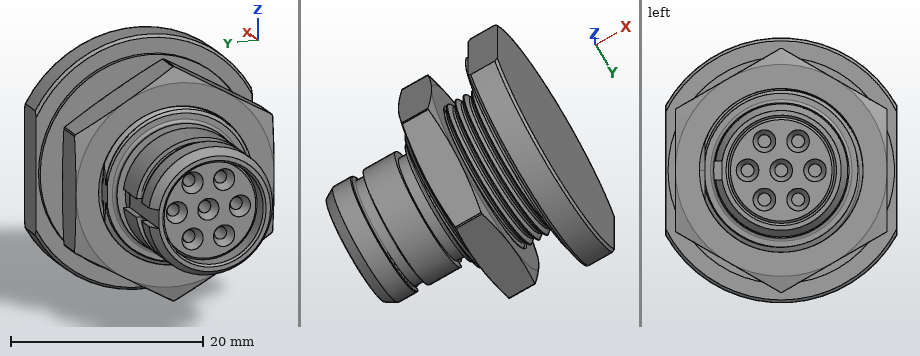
import cadquery as cq
import math


NOSE_RADIUS = 6.9
NOSE_FACE_RADIUS = 6.22
NOSE_TAPER_ANGLE = 30.0
NOSE_END = 8.65
NECK_RADIUS = 6.12

RING_GROOVE_START = 3.45
RING_GROOVE_END = 4.85
RING_GROOVE_RADIUS = 6.28
RING_GROOVE_FILLET = 0.15
RING_GROOVE_EDGE_CHAMFER = 0.1

KEYWAY_WIDTH = 2.0
KEYWAY_FLOOR = 6.15

COLLAR_START = 9.98
COLLAR_RADIUS = 7.02
COLLAR_COVE = 0.33

THREAD_START = 10.5
THREAD_RADIUS = 8.5
THREAD_LEAD_CHAMFER = 0.5
THREAD_PITCH = 1.0
THREAD_DEPTH = 0.541 * THREAD_PITCH
THREAD_ROOT_WIDTH = THREAD_PITCH / 4
THREAD_HALF_ANGLE = 30.0
THREAD_CUT_START = 9.65
THREAD_CUT_END = 19.75
THREAD_CUT_CLEARANCE = 0.08
THREAD_FLAT = 7.9

SEAL_START = 20.0
SEAL_RADIUS = 11.75
FLANGE_START = 20.5
FLANGE_END = 24.0
FLANGE_RADIUS = 13.75
FLANGE_CHAMFER = 0.3
FLANGE_ACROSS_FLATS = 24.0

NUT_START = 11.5
NUT_THICKNESS = 4.0
NUT_ACROSS_FLATS = 22.0
NUT_CORNER_RADIUS = 12.65
NUT_BEVEL_ANGLE = 15.0
NUT_BORE_RADIUS = 7.8

RECESS_RADIUS = 5.5
RECESS_CHAMFER = 0.23
INSERT_DEPTH = 1.8
INSERT_CHAMFER = 0.23

CONTACT_COUNT = 6
CONTACT_RING_RADIUS = 3.5
CONTACT_MOUTH_RADIUS = 1.17
CONTACT_HOLE_RADIUS = 0.67
CONTACT_FUNNEL_DEPTH = 1.05
CONTACT_HOLE_DEPTH = 4.0


def tan_deg(angle):
    return math.tan(math.radians(angle))


def turn(profile):
    """Revolve a closed profile of (x, radius) points about the X axis."""
    return profile.close().revolve(360, (0, 0, 0), (1, 0, 0))


def make_body():
    """Nose, neck, collar, thread core and flange as one turned blank."""
    taper_length = (NOSE_RADIUS - NOSE_FACE_RADIUS) / tan_deg(NOSE_TAPER_ANGLE)
    profile = (
        cq.Workplane("XY")
        .moveTo(0, 0)
        .lineTo(0, NOSE_FACE_RADIUS)
        .lineTo(taper_length, NOSE_RADIUS)
        .lineTo(NOSE_END, NOSE_RADIUS)
        .lineTo(NOSE_END, NECK_RADIUS)
        .lineTo(COLLAR_START, NECK_RADIUS)
        .lineTo(COLLAR_START, COLLAR_RADIUS)
        .lineTo(THREAD_START - COLLAR_COVE, COLLAR_RADIUS)
        .radiusArc((THREAD_START, COLLAR_RADIUS + COLLAR_COVE), -COLLAR_COVE)
        .lineTo(SEAL_START, COLLAR_RADIUS + COLLAR_COVE)
        .lineTo(SEAL_START, SEAL_RADIUS)
        .lineTo(FLANGE_START, SEAL_RADIUS)
        .lineTo(FLANGE_START, FLANGE_RADIUS - FLANGE_CHAMFER)
        .lineTo(FLANGE_START + FLANGE_CHAMFER, FLANGE_RADIUS)
        .lineTo(FLANGE_END - FLANGE_CHAMFER, FLANGE_RADIUS)
        .lineTo(FLANGE_END, FLANGE_RADIUS - FLANGE_CHAMFER)
        .lineTo(FLANGE_END, 0)
    )
    return turn(profile)


def make_ring_groove():
    """Ring groove cutter with rounded floor corners and one chamfered edge."""
    floor = RING_GROOVE_RADIUS
    fillet = RING_GROOVE_FILLET
    chamfer = RING_GROOVE_EDGE_CHAMFER
    profile = (
        cq.Workplane("XY")
        .moveTo(RING_GROOVE_START - chamfer, NOSE_RADIUS)
        .lineTo(RING_GROOVE_START, NOSE_RADIUS - chamfer)
        .lineTo(RING_GROOVE_START, floor + fillet)
        .radiusArc((RING_GROOVE_START + fillet, floor), -fillet)
        .lineTo(RING_GROOVE_END - fillet, floor)
        .radiusArc((RING_GROOVE_END, floor + fillet), -fillet)
        .lineTo(RING_GROOVE_END, NOSE_RADIUS + chamfer)
        .lineTo(RING_GROOVE_START - chamfer, NOSE_RADIUS + chamfer)
    )
    return turn(profile)


def make_keyway():
    """Flat-floored keyway running from the nose face to the neck."""
    height = NOSE_RADIUS - KEYWAY_FLOOR
    return (
        cq.Workplane("XY")
        .box(NOSE_END, 2 * height, KEYWAY_WIDTH, centered=(False, False, True))
        .translate((0, KEYWAY_FLOOR, 0))
    )


def make_thread_groove():
    """Right-handed helical groove cutter, starting on the -Z side."""
    root_radius = THREAD_RADIUS - THREAD_DEPTH
    outer_radius = THREAD_RADIUS + THREAD_CUT_CLEARANCE
    root_half = THREAD_ROOT_WIDTH / 2
    outer_half = root_half + (outer_radius - root_radius) * tan_deg(THREAD_HALF_ANGLE)
    path = cq.Wire.makeHelix(THREAD_PITCH, THREAD_CUT_END - THREAD_CUT_START, root_radius)
    groove = (
        cq.Workplane("XZ")
        .polyline(
            [
                (root_radius, -root_half),
                (outer_radius, -outer_half),
                (outer_radius, outer_half),
                (root_radius, root_half),
            ]
        )
        .close()
        .sweep(cq.Workplane(path), isFrenet=True)
    )
    return groove.rotate((0, 0, 0), (0, 1, 0), 90).translate((THREAD_CUT_START, 0, 0))


def make_thread():
    """Threaded shank with a lead-in chamfer and a flat on its +Y side."""
    length = SEAL_START - THREAD_START
    shank = cq.Workplane("YZ", origin=(THREAD_START, 0, 0)).circle(THREAD_RADIUS).extrude(length)
    chamfered_shank = shank.faces("<X").chamfer(THREAD_LEAD_CHAMFER)
    flat = (
        cq.Workplane("XY")
        .box(length, THREAD_RADIUS, 2 * THREAD_RADIUS, centered=(False, False, True))
        .translate((THREAD_START, THREAD_FLAT, 0))
    )
    return shank.cut(make_thread_groove()).cut(flat).intersect(chamfered_shank)


def make_flange_envelope():
    """Slab between the two flats of the flange."""
    return cq.Workplane("XY").box(
        FLANGE_END, FLANGE_ACROSS_FLATS, 2 * FLANGE_RADIUS, centered=(False, True, True)
    )


def make_nut():
    """Hexagon nut with bevelled corners and a countersunk bore."""
    nut_end = NUT_START + NUT_THICKNESS
    face_radius = NUT_ACROSS_FLATS / 2
    bevel_length = (NUT_CORNER_RADIUS - face_radius) * tan_deg(NUT_BEVEL_ANGLE)
    countersink = THREAD_RADIUS - NUT_BORE_RADIUS
    corner_diameter = NUT_ACROSS_FLATS / math.cos(math.pi / 6)
    hexagon = (
        cq.Workplane("YZ", origin=(NUT_START, 0, 0))
        .transformed(rotate=(0, 0, 90))
        .polygon(6, corner_diameter)
        .extrude(NUT_THICKNESS)
    )
    ring = turn(
        cq.Workplane("XY").polyline(
            [
                (NUT_START, THREAD_RADIUS),
                (NUT_START, face_radius),
                (NUT_START + bevel_length, NUT_CORNER_RADIUS),
                (nut_end - bevel_length, NUT_CORNER_RADIUS),
                (nut_end, face_radius),
                (nut_end, THREAD_RADIUS),
                (nut_end - countersink, NUT_BORE_RADIUS),
                (NUT_START + countersink, NUT_BORE_RADIUS),
            ]
        )
    )
    return hexagon.intersect(ring)


def make_recess():
    """Recess in the nose, leaving the chamfered rim of the contact insert."""
    profile = cq.Workplane("XY").polyline(
        [
            (0, 0),
            (0, RECESS_RADIUS + RECESS_CHAMFER),
            (RECESS_CHAMFER, RECESS_RADIUS),
            (INSERT_DEPTH + INSERT_CHAMFER, RECESS_RADIUS),
            (INSERT_DEPTH, RECESS_RADIUS - INSERT_CHAMFER),
            (INSERT_DEPTH, 0),
        ]
    )
    return turn(profile)


def make_contact_hole(y, z):
    """Funnel-mouthed blind hole in the insert."""
    funnel_end = INSERT_DEPTH + CONTACT_FUNNEL_DEPTH
    hole_end = INSERT_DEPTH + CONTACT_HOLE_DEPTH
    profile = cq.Workplane("XY").polyline(
        [
            (INSERT_DEPTH, 0),
            (INSERT_DEPTH, CONTACT_MOUTH_RADIUS),
            (funnel_end, CONTACT_HOLE_RADIUS),
            (hole_end, CONTACT_HOLE_RADIUS),
            (hole_end, 0),
        ]
    )
    return turn(profile).translate((0, y, z))


body = make_body().intersect(make_flange_envelope())
body = body.union(make_thread())
body = body.cut(make_ring_groove())
body = body.cut(make_keyway())
body = body.cut(make_recess())

body = body.cut(make_contact_hole(0, 0))
for index in range(CONTACT_COUNT):
    angle = 2 * math.pi * index / CONTACT_COUNT
    hole_y = CONTACT_RING_RADIUS * math.cos(angle)
    hole_z = CONTACT_RING_RADIUS * math.sin(angle)
    body = body.cut(make_contact_hole(hole_y, hole_z))

result = body.union(make_nut())